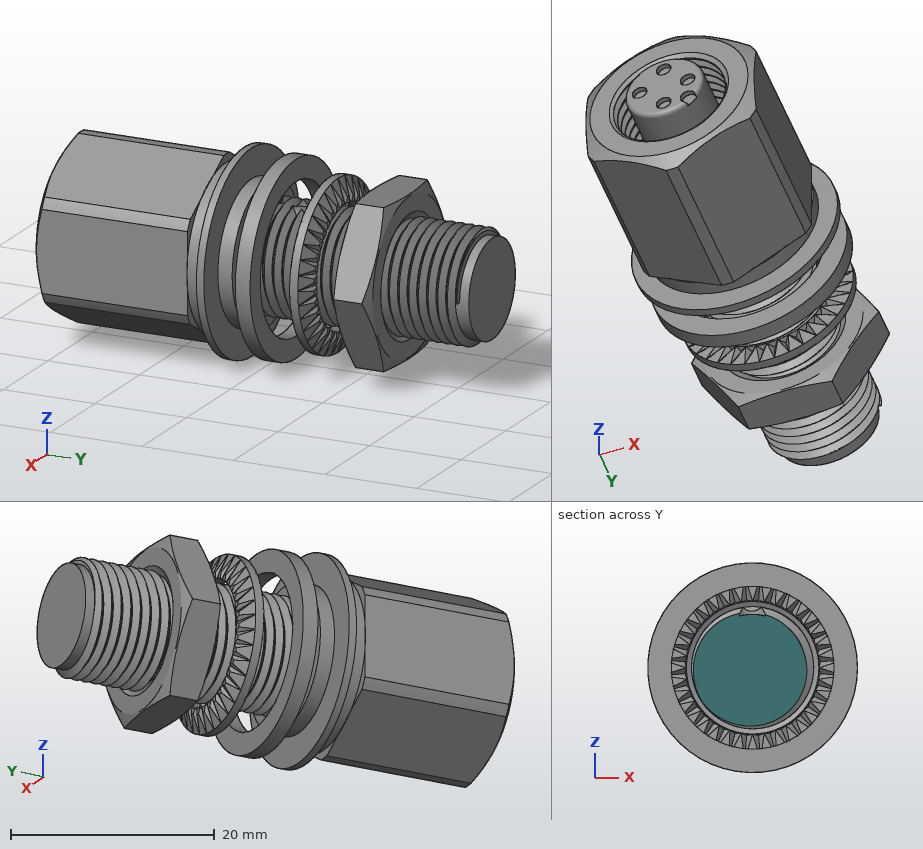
import cadquery as cq
import math


TOTAL_LENGTH = 47.3
NUT_START = 9.0
NUT_THICKNESS = 4.0
LOCK_WASHER_START = 16.0
LOCK_WASHER_RIM_START = 16.85
LOCK_WASHER_END = 17.75
GASKET_START = 21.45
GASKET_THICKNESS = 1.6
BOSS_START = 24.7
FLANGE_START = 26.25
FLANGE_THICKNESS = 0.8
COLLAR_START = 27.45
HEX_START = 29.0
HEX_END = 45.8

HEX_SIDES = 6

CORE_DIAMETER = 10.5
THREAD_DIAMETER = 12.0
THREAD_START = 1.0
HELIX_START = 0.9
HELIX_END = 28.3
HELIX_TURNS = 26
PITCH = (HELIX_END - HELIX_START) / HELIX_TURNS
RIDGE_GAP = 0.05
RIDGE_ROOT_OVERLAP = 0.025

PATCH_DIAMETER = 3.05
PATCH_STATIONS = (20.35, 24.5)

BOSS_DIAMETER = 15.25
FLANGE_DIAMETER = 21.55
COLLAR_DIAMETER = 17.9

HEX_FLATS = 17.6
HEX_CORNERS = 19.65
HEX_FACE_DIAMETER = 16.55
HEX_CHAMFER_ANGLE = 30.0

SOCKET_DIAMETER = 11.5
SOCKET_MOUTH_DIAMETER = 12.5
SOCKET_MOUTH_DEPTH = 0.3
SOCKET_DEPTH = 8.5
GROOVE_DIAMETER = 12.2
SEAL_INNER_DIAMETER = 8.3
SEAL_OUTER_DIAMETER = 11.1

INSERT_DIAMETER = 8.15
INSERT_EDGE_RADIUS = 0.45
CONTACT_COUNT = 4
CONTACT_DIAMETER = 1.5
CONTACT_CIRCLE_RADIUS = 2.5
CONTACT_DEPTH = 0.5
KEY_RADIUS = 3.55
KEY_ANGLE = -45.0

NUT_FLATS = 17.0
NUT_MOUTH_DIAMETER = 13.0
NUT_MOUTH_DEPTH = 0.75
NUT_FACE_DIAMETER = 16.65
NUT_CHAMFER_ANGLE = 18.0

GASKET_DIAMETER = 20.6
GASKET_BORE = 16.0

LOCK_WASHER_DIAMETER = 18.0
LOCK_WASHER_TOP_DIAMETER = 14.2
FRONT_SERRATION_DIAMETER = 17.9
LOCK_WASHER_BORE = 13.0
TOOTH_COUNT = 36
REAR_TOOTH_DEPTH = 0.4
FRONT_TOOTH_DEPTH = 0.65


def station_plane(station):
    """Workplane square to the axis: local x is X, local y is Z, extrusion runs to the front."""
    return cq.Workplane("XZ", origin=(0, -station, 0))


def cylinder(diameter, start, end):
    return station_plane(start).circle(diameter / 2).extrude(end - start)


def hexagon(flats, start, end, angle):
    """Hexagonal prism; angle 0 puts corners on +X and -X."""
    corners = flats / math.cos(math.pi / HEX_SIDES)
    prism = station_plane(start).polygon(HEX_SIDES, corners).extrude(end - start)
    return prism.rotate((0, 0, 0), (0, 1, 0), angle)


def turned(points):
    """Solid of revolution from (radius, station) points."""
    profile = [(radius, -station) for radius, station in points]
    return cq.Workplane("XY").polyline(profile).close().revolve(360, (0, 0, 0), (0, 1, 0))


def helical_ridge(base_radius, crest_radius, start, turns):
    """Right-handed helical ridge of triangular section, standing on base_radius."""
    height = PITCH * turns
    half = (PITCH - RIDGE_GAP) / 2
    base = cq.Wire.makeHelix(PITCH, height, base_radius)
    front = base.translate(cq.Vector(0, 0, half))
    rear = base.translate(cq.Vector(0, 0, -half))
    crest = cq.Wire.makeHelix(PITCH, height, crest_radius)
    sides = [cq.Face.makeRuledSurface(a, b) for a, b in ((rear, crest), (crest, front), (front, rear))]
    ends = []
    for level in (0, height):
        corners = [(base_radius, 0, level - half), (crest_radius, 0, level), (base_radius, 0, level + half)]
        outline = cq.Wire.makePolygon([cq.Vector(*corner) for corner in corners], close=True)
        ends.append(cq.Face.makeFromWires(outline))
    faces = []
    for face in sides + ends:
        faces.extend(face.Faces())
    ridge = cq.Solid.makeSolid(cq.Shell.makeShell(faces)).fix()
    return cq.Workplane(ridge).rotate((0, 0, 0), (1, 0, 0), 90).translate((0, -start, 0))


def external_thread():
    """Thread ridge, trimmed at the rear and cleared from the round patches on top (+Z)."""
    base_radius = CORE_DIAMETER / 2 - RIDGE_ROOT_OVERLAP
    ridge = helical_ridge(base_radius, THREAD_DIAMETER / 2, HELIX_START, HELIX_TURNS)
    ridge = ridge.cut(cylinder(FLANGE_DIAMETER, HELIX_START - 2 * PITCH, THREAD_START))
    for station in PATCH_STATIONS:
        patch = cq.Workplane("XY", origin=(0, -station, 0)).circle(PATCH_DIAMETER / 2)
        ridge = ridge.cut(patch.extrude(THREAD_DIAMETER))
    return ridge


def hex_sleeve():
    """Hexagon with corners on +Z and -Z, rounded at the corners and chamfered at the front."""
    sleeve = hexagon(HEX_FLATS, HEX_START, HEX_END, 180 / HEX_SIDES)
    face_radius = HEX_FACE_DIAMETER / 2
    corner_radius = HEX_CORNERS / 2
    chamfer_length = (corner_radius - face_radius) * math.tan(math.radians(HEX_CHAMFER_ANGLE))
    envelope = turned([
        (0, HEX_START),
        (corner_radius, HEX_START),
        (corner_radius, HEX_END - chamfer_length),
        (face_radius, HEX_END),
        (0, HEX_END),
    ])
    return sleeve.intersect(envelope)


def socket():
    """Threaded bore, with a half-round seal left standing on its floor."""
    floor = HEX_END - SOCKET_DEPTH
    seal_inner = SEAL_INNER_DIAMETER / 2
    seal_outer = SEAL_OUTER_DIAMETER / 2
    seal_middle = (seal_inner + seal_outer) / 2
    seal_height = (seal_outer - seal_inner) / 2
    bore = SOCKET_DIAMETER / 2
    ring = (
        cq.Workplane("XY")
        .moveTo(0, -floor)
        .lineTo(seal_inner, -floor)
        .threePointArc((seal_middle, -floor - seal_height), (seal_outer, -floor))
        .lineTo(bore, -floor)
        .lineTo(bore, -HEX_END + SOCKET_MOUTH_DEPTH)
        .lineTo(SOCKET_MOUTH_DIAMETER / 2, -HEX_END)
        .lineTo(0, -HEX_END)
        .close()
        .revolve(360, (0, 0, 0), (0, 1, 0))
    )
    turns = math.floor(SOCKET_DEPTH / PITCH) - 1
    groove_start = HEX_END - PITCH * turns
    groove = helical_ridge(bore - RIDGE_ROOT_OVERLAP, GROOVE_DIAMETER / 2, groove_start, turns)
    groove = groove.cut(cylinder(FLANGE_DIAMETER, HEX_END, HEX_END + PITCH))
    return ring.union(groove)


def contact_insert():
    insert = cylinder(INSERT_DIAMETER, HEX_START, TOTAL_LENGTH)
    return insert.faces("<Y").edges().fillet(INSERT_EDGE_RADIUS)


def contact_holes():
    """Blind contact holes and the keyway, which breaks through the rim of the insert."""
    start = TOTAL_LENGTH - CONTACT_DEPTH
    key_angle = math.radians(KEY_ANGLE)
    places = [(KEY_RADIUS * math.cos(key_angle), KEY_RADIUS * math.sin(key_angle))]
    for index in range(CONTACT_COUNT):
        angle = 2 * math.pi * index / CONTACT_COUNT
        places.append((CONTACT_CIRCLE_RADIUS * math.cos(angle), CONTACT_CIRCLE_RADIUS * math.sin(angle)))
    return station_plane(start).pushPoints(places).circle(CONTACT_DIAMETER / 2).extrude(CONTACT_DEPTH)


def screwed_nut():
    """Hex nut, countersunk around the thread on both faces."""
    end = NUT_START + NUT_THICKNESS
    nut = hexagon(NUT_FLATS, NUT_START, end, 0)
    slope = math.tan(math.radians(NUT_CHAMFER_ANGLE))
    face_radius = NUT_FACE_DIAMETER / 2
    corner_radius = NUT_FLATS / 2 / math.cos(math.pi / HEX_SIDES)
    chamfer_length = (corner_radius - face_radius) * slope
    envelope = turned([
        (0, NUT_START),
        (face_radius, NUT_START),
        (corner_radius, NUT_START + chamfer_length),
        (corner_radius, end - chamfer_length),
        (face_radius, end),
        (0, end),
    ])
    nut = nut.intersect(envelope)
    for face, inward in ((NUT_START, 1), (end, -1)):
        apex = face + inward * NUT_MOUTH_DEPTH
        root = CORE_DIAMETER / 2
        nut = nut.cut(turned([(0, face), (NUT_MOUTH_DIAMETER / 2, face), (root, apex), (0, apex)]))
    return nut


def make_connector():
    """Connector with its nut screwed tight on the thread, all one solid."""
    body = cylinder(CORE_DIAMETER, 0, HEX_START)
    body = body.union(external_thread())
    body = body.union(screwed_nut())
    body = body.union(cylinder(BOSS_DIAMETER, BOSS_START, FLANGE_START))
    body = body.union(cylinder(FLANGE_DIAMETER, FLANGE_START, FLANGE_START + FLANGE_THICKNESS))
    body = body.union(cylinder(COLLAR_DIAMETER, COLLAR_START, HEX_START))
    body = body.union(hex_sleeve().cut(socket()))
    body = body.union(contact_insert())
    return body.cut(contact_holes())


def make_gasket():
    end = GASKET_START + GASKET_THICKNESS
    return cylinder(GASKET_DIAMETER, GASKET_START, end).cut(cylinder(GASKET_BORE, GASKET_START, end))


def serration(inner, outer, depth):
    """V-shaped cutter between two (radius, station) points, fading out at the outer one.

    Positive depth cuts toward the front.
    """
    radius, station = inner
    half_width = math.pi * radius / TOOTH_COUNT
    direction = cq.Vector(outer[0] - radius, station - outer[1] + depth, 0)
    plane = cq.Plane(origin=(radius, -station, 0), xDir=(0, 0, 1), normal=direction)
    section = [(-half_width, 0), (half_width, 0), (0, depth)]
    return cq.Workplane(plane).polyline(section).close().extrude(direction.Length)


def make_lock_washer():
    """Ring with radial serrations on its conical rear side and on its flat front face."""
    rim = LOCK_WASHER_DIAMETER / 2
    top = LOCK_WASHER_TOP_DIAMETER / 2
    bore = LOCK_WASHER_BORE / 2
    front_fade = FRONT_SERRATION_DIAMETER / 2
    cone_height = LOCK_WASHER_RIM_START - LOCK_WASHER_START
    slope = cone_height / (rim - top)
    washer = turned([
        (bore, LOCK_WASHER_START),
        (top, LOCK_WASHER_START),
        (rim, LOCK_WASHER_RIM_START),
        (rim, LOCK_WASHER_END),
        (bore, LOCK_WASHER_END),
    ])
    rear_line = (bore, LOCK_WASHER_START - slope * (top - bore)), (rim, LOCK_WASHER_RIM_START)
    front_line = (bore, LOCK_WASHER_END), (front_fade, LOCK_WASHER_END)
    rear_cut = serration(*rear_line, REAR_TOOTH_DEPTH)
    front_cut = serration(*front_line, -FRONT_TOOTH_DEPTH)
    tooth_angle = 360 / TOOTH_COUNT
    for index in range(TOOTH_COUNT):
        washer = washer.cut(rear_cut.rotate((0, 0, 0), (0, 1, 0), tooth_angle * index))
        washer = washer.cut(front_cut.rotate((0, 0, 0), (0, 1, 0), tooth_angle * (index + 0.5)))
    return washer


connector = make_connector()
gasket = make_gasket()
lock_washer = make_lock_washer()

result = cq.Compound.makeCompound([connector.val(), gasket.val(), lock_washer.val()])